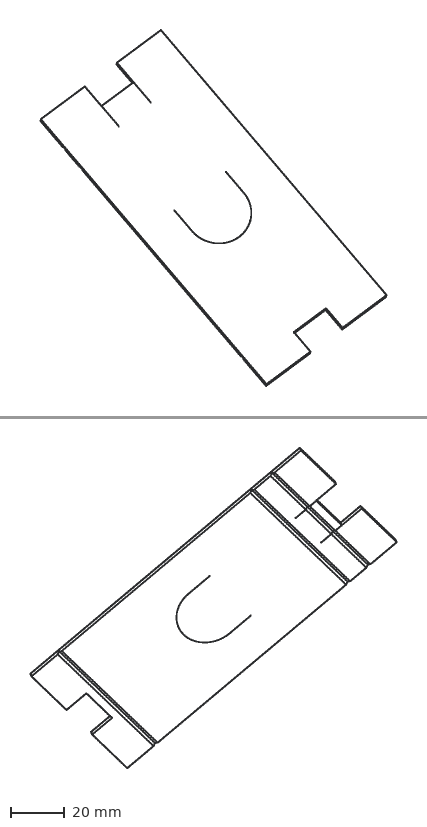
import cadquery as cq

LENGTH = 133.0
WIDTH = 58.0
THICKNESS = 2.0

PITCH = 33.34
ROLL = 20.0

NOTCH_WIDTH = 15.5
NOTCH_DEPTH = 9.8
SLIT_WIDTH = 0.05
TONGUE_SLIT_END = 20.0

FLAP_WIDTH = 25.0
FLAP_START = 58.5
FLAP_STRAIGHT = 10.5

GROOVE_DEPTH = 1.0
GROOVE_CENTRES = (14.0, 24.0, LENGTH - 14.0)

FIRST_END = -LENGTH / 2
UNDERSIDE = -THICKNESS / 2


def through_block(start, end, width, side_offset=0.0):
    """Block through the full thickness, between two distances from the first end."""
    block = cq.Workplane("XY").box(end - start, width, THICKNESS)
    return block.translate((FIRST_END + (start + end) / 2, side_offset, 0))


def end_notches():
    """Rectangular notches in the middle of both ends."""
    first = through_block(0, NOTCH_DEPTH, NOTCH_WIDTH)
    last = through_block(LENGTH - NOTCH_DEPTH, LENGTH, NOTCH_WIDTH)
    return first.union(last)


def tongue_slit(side):
    """Slit running on from one side wall of the first notch."""
    offset = side * (NOTCH_WIDTH - SLIT_WIDTH) / 2
    return through_block(NOTCH_DEPTH, TONGUE_SLIT_END, SLIT_WIDTH, offset)


def flap_outline(half_width):
    """Straight sides closed by a half circle, extruded through the plate."""
    start = FIRST_END + FLAP_START
    arc_start = start + FLAP_STRAIGHT
    return (
        cq.Workplane("XY", origin=(0, 0, UNDERSIDE))
        .moveTo(start, -half_width)
        .lineTo(arc_start, -half_width)
        .threePointArc((arc_start + half_width, 0), (arc_start, half_width))
        .lineTo(start, half_width)
        .close()
        .extrude(THICKNESS)
    )


def flap_slit():
    """Narrow slit between the flap outline and the same outline set inwards."""
    outer = FLAP_WIDTH / 2
    return flap_outline(outer).cut(flap_outline(outer - SLIT_WIDTH))


def groove(centre):
    """V-shaped prism running across the full plate width."""
    apex = FIRST_END + centre
    return (
        cq.Workplane("XZ")
        .moveTo(apex - GROOVE_DEPTH, UNDERSIDE)
        .lineTo(apex, UNDERSIDE + GROOVE_DEPTH)
        .lineTo(apex + GROOVE_DEPTH, UNDERSIDE)
        .close()
        .extrude(WIDTH / 2, both=True)
    )


plate = cq.Workplane("XY").box(LENGTH, WIDTH, THICKNESS)
plate = plate.cut(end_notches())
for side in (-1, 1):
    plate = plate.cut(tongue_slit(side))
plate = plate.cut(flap_slit())
for groove_centre in GROOVE_CENTRES:
    plate = plate.cut(groove(groove_centre))

pitched = plate.rotate((0, 0, 0), (0, 1, 0), PITCH)
result = pitched.rotate((0, 0, 0), (1, 0, 0), ROLL)